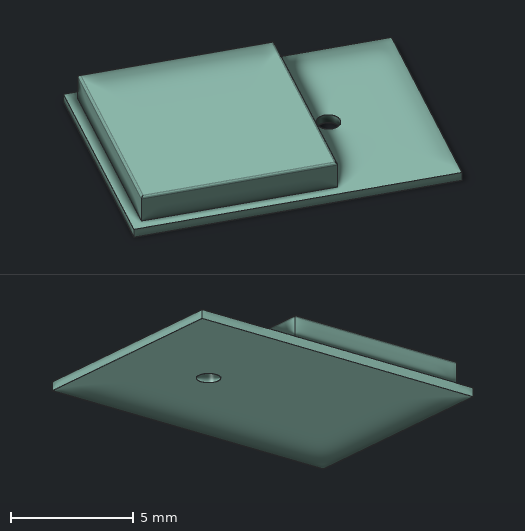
import cadquery as cq

board_width = 10.0
board_length = 14.0
board_thickness = 0.4
hole_diameter = 1.0
hole_from_front = 9.8

total_height = 1.6
can_width = 9.04
can_length = 8.36
can_from_front = 0.47
can_height = total_height - board_thickness
can_edge_radius = 0.1

board_front_y = -board_length / 2
hole_y = board_front_y + hole_from_front
can_centre_y = board_front_y + can_from_front + can_length / 2


def make_board():
    """Flat board with one through hole behind the shield can."""
    board = cq.Workplane("XY").box(
        board_width, board_length, board_thickness, centered=(True, True, False)
    )
    return board.faces(">Z").workplane(origin=(0, hole_y, 0)).hole(hole_diameter)


def make_can():
    """Solid shield can standing on the board, with rounded top edges."""
    can = cq.Workplane("XY", origin=(0, can_centre_y, board_thickness)).box(
        can_width, can_length, can_height, centered=(True, True, False)
    )
    return can.faces(">Z").edges().fillet(can_edge_radius)


result = make_board().union(make_can())